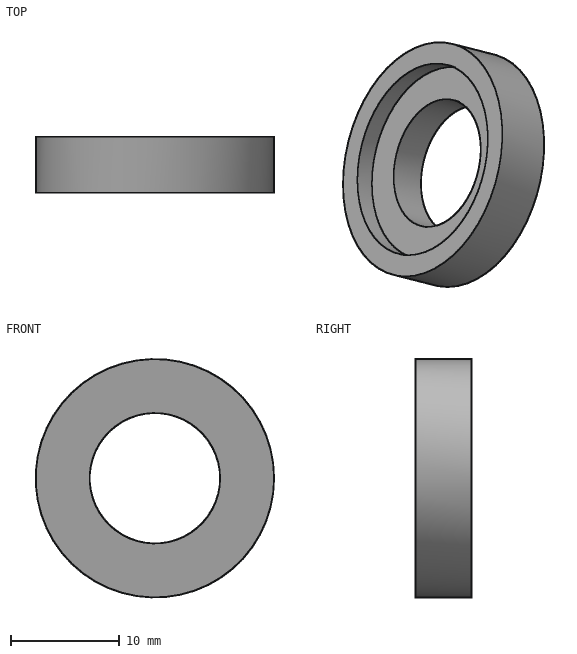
import cadquery as cq

outer_diameter = 22.0
thickness = 5.2
bore_diameter = 12.0
bore_length = 3.4
rim_wall = 2.0

recess_diameter = outer_diameter - 2 * rim_wall
recess_depth = thickness - bore_length
front_y = -thickness / 2
rear_y = thickness / 2


def cylinder_along_y(diameter, start_y, length):
    """Solid cylinder on the Y axis, running from start_y towards +Y."""
    start_plane = cq.Workplane("XZ", origin=(0, start_y, 0))
    return start_plane.circle(diameter / 2).extrude(-length)


def make_ring():
    """Cylindrical body with a through bore and a rear counterbore."""
    body = cylinder_along_y(outer_diameter, front_y, thickness)
    bore = cylinder_along_y(bore_diameter, front_y, thickness)
    recess = cylinder_along_y(recess_diameter, rear_y - recess_depth, recess_depth)
    return body.cut(bore).cut(recess)


result = make_ring()